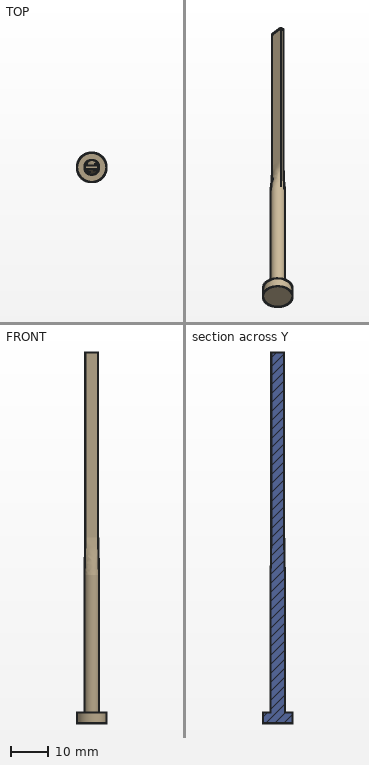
import cadquery as cq

total_length = 100.0
blade_length = 50.0
transition_length = 10.0
head_height = 3.0

head_diameter = 8.0
shank_diameter = 4.0
blade_width = 3.5
blade_thickness = 1.0

blade_base = total_length - blade_length
shank_top = blade_base - transition_length


def make_head():
    return cq.Workplane("XY").circle(head_diameter / 2).extrude(head_height)


def make_shank():
    return cq.Workplane("XY").circle(shank_diameter / 2).extrude(shank_top)


def make_transition():
    """Loft from the round shank to the rectangular blade."""
    return (
        cq.Workplane("XY", origin=(0, 0, shank_top))
        .circle(shank_diameter / 2)
        .workplane(offset=transition_length)
        .rect(blade_width, blade_thickness)
        .loft(combine=True)
    )


def make_blade():
    return (
        cq.Workplane("XY", origin=(0, 0, blade_base))
        .rect(blade_width, blade_thickness)
        .extrude(blade_length)
    )


result = make_head().union(make_shank()).union(make_transition()).union(make_blade())